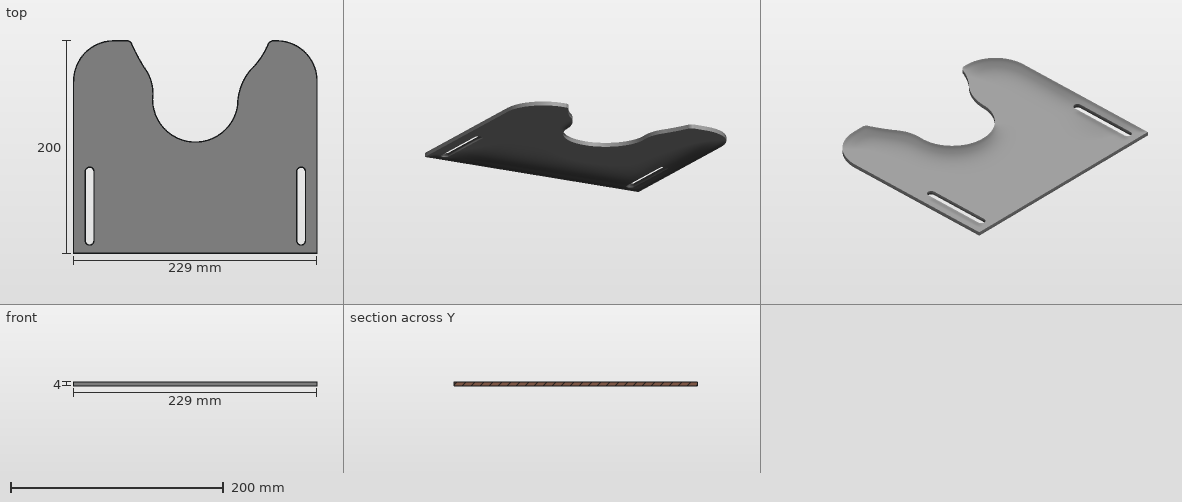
import cadquery as cq
import math

width = 229.0
depth = 200.0
thickness = 4.0
corner_radius = 38.0

bowl_radius = 40.0
bowl_center_y = 144.7
bowl_exit_drop = 6.2

left_shoulder_mid = (-42.4, 164.7)
left_shoulder_end = (-48.3, 175.2)
left_hollow_mid = (-54.5, 186.0)
left_hollow_end = (-59.5, 196.3)
left_tip_mid = (-61.1, 198.8)
left_tip_x = -64.0

right_shoulder_mid = (43.0, 157.5)
right_shoulder_end = (50.8, 171.3)
right_hollow_mid = (60.5, 182.3)
right_hollow_end = (67.8, 195.0)
right_tip_mid = (69.8, 198.5)
right_tip_x = 72.8

slot_length = 73.0
slot_width = 8.0
slot_spacing = 198.8
slot_center_y = 44.5


def make_plate():
    """Plate with two rounded rear corners and the flared neck opening."""
    half_width = width / 2
    corner_y = depth - corner_radius
    corner_x = half_width - corner_radius
    corner_reach = corner_radius * math.sqrt(0.5)
    bowl_exit_x = math.sqrt(bowl_radius**2 - bowl_exit_drop**2)

    outline = (
        cq.Workplane("XY")
        .moveTo(-half_width, 0)
        .lineTo(half_width, 0)
        .lineTo(half_width, corner_y)
        .threePointArc((corner_x + corner_reach, corner_y + corner_reach), (corner_x, depth))
        .lineTo(right_tip_x, depth)
        .threePointArc(right_tip_mid, right_hollow_end)
        .threePointArc(right_hollow_mid, right_shoulder_end)
        .threePointArc(right_shoulder_mid, (bowl_exit_x, bowl_center_y - bowl_exit_drop))
        .threePointArc((0, bowl_center_y - bowl_radius), (-bowl_radius, bowl_center_y))
        .threePointArc(left_shoulder_mid, left_shoulder_end)
        .threePointArc(left_hollow_mid, left_hollow_end)
        .threePointArc(left_tip_mid, (left_tip_x, depth))
        .lineTo(-corner_x, depth)
        .threePointArc((-corner_x - corner_reach, corner_y + corner_reach), (-half_width, corner_y))
        .close()
    )
    return outline.extrude(thickness)


def make_slots():
    """Cutters for the two round-ended slots."""
    return (
        cq.Workplane("XY")
        .pushPoints([(side * slot_spacing / 2, slot_center_y) for side in (-1, 1)])
        .slot2D(slot_length, slot_width, 90)
        .extrude(thickness)
    )


result = make_plate().cut(make_slots())